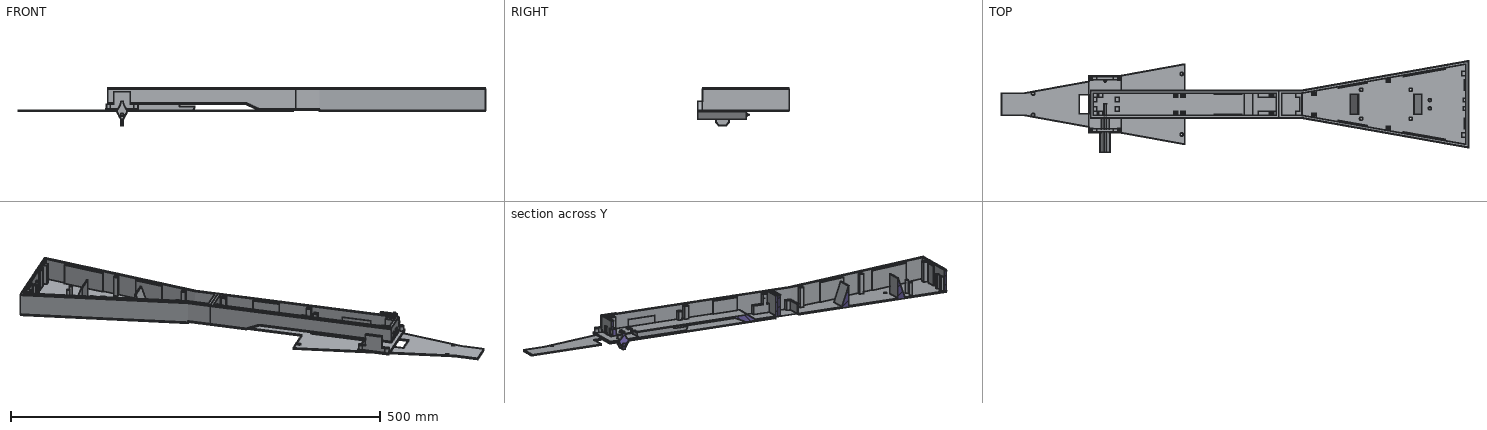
import cadquery as cq
import math


LENGTH = 633.0
TOP_Z = 51.0
SHEET = 2.0
WALL = 4.0
BAND_H = 2.0
BAND_INSET = 0.5
SCREW_HOLE_D = 4.0
STUD_D = 4.0
PILOT_D = 2.1
PILOT_DEPTH = 6.5
POST_W = 6.0
POST_TOP_Z = TOP_Z - SHEET

PLATE_Z = 19.0
PLATE_TOP_Z = PLATE_Z + SHEET
PLATE_TIP_HALF_W = 15.0
PLATE_STRAIGHT_X = 31.5
PLATE_END_X = 248.5
PLATE_END_HALF_W = 54.5
TONGUE_HALF_W = 12.5
WINDOW_START_X = 105.5
WINDOW_END_X = 119.5
PLATE_HOLES = [(43.0, 14.5), (244.0, 41.0)]

NECK_START_X = 121.0
JOINT_X = 376.0
NECK_HALF_W = 19.0
NECK_BOTTOM_Z = 29.0
NECK_INNER_HALF_W = NECK_HALF_W - WALL
NECK_FLOOR_Z = NECK_BOTTOM_Z + SHEET
LOW_FLOOR_Z = PLATE_TOP_Z + SHEET
OUTER_RAMP_X = (307.5, 325.0)
INNER_RAMP_X = (329.0, 340.5)
CABLE_W = 6.0
CABLE_Y = 6.65
CABLE_SLOT_TOP_Z = 39.0
CABLE_BOSS_L = 4.5
FLOOR_OPENING_X = 157.0

FLARE_START_X = 407.5
TRAY_HALF_W = 59.0
TRAY_FLOOR_Z = PLATE_TOP_Z + 0.5
CROSS_WALL_X = 404.0
CROSS_WALL_T = 2.5
LOW_POST_Z = 35.0
TRAY_HOLES_X = (487.0, 554.0)
TRAY_HOLES_Y = 19.5
WEDGE_HALF_W = 13.0
WEDGE_FOOT_X = (472.5, 569.5)
WEDGE_RUN = 11.5
WEDGE_CREST = 1.0
STUD_X = 580.0
STUD_Y = 6.0
STUD_TOP_Z = 40.0

BRACKET_X = 140.5
BRACKET_L = 43.5
BRACKET_HALF_W = 38.5
SLAB_TOP_Z = PLATE_TOP_Z + SHEET
LUG_W = 23.0
LUG_T = 4.0
LUG_INSET = 1.0
LUG_TOP_Z = 45.5
EAR_TOP_Z = 29.0
EAR_D = 6.0
EAR_PITCH = 37.0
PIVOT_CONE_D = 6.0
PIVOT_CONE_L = 4.0
PIVOT_CONE_Z = 26.5

HANDLE_X = 140.5
HANDLE_END_Y = 0.5
HANDLE_OUTER_Y = -65.0
HANDLE_HALF_W = 7.0
HANDLE_CREST_HALF_W = 1.0
HANDLE_CREST_Z = 33.0
HANDLE_SIDE_Z = (18.5, 21.0)
HANDLE_KEEL_Z = 8.0
BORE_Z = 14.5
PIN_TIP_L = 4.0
PIN_RECESS = 4.0
FIN_T = 3.0
FIN_Y = -31.5
FIN_TOP_HALF_W = 9.0
FIN_BOTTOM_HALF_W = 5.0
FIN_SHOULDER_Z = 4.5

SPACER_STEP_X = 218.0
SPACER_END_X = 239.0
SPACER_FOOT_X = 237.0
SPACER_STEP_Z = 26.0
SPACER_HALF_W = 6.5


def box(x0, x1, y0, y1, z0, z1):
    return cq.Workplane("XY").box(x1 - x0, y1 - y0, z1 - z0, centered=False).translate((x0, y0, z0))


def mirrored(part):
    """The part together with its mirror image across Y = 0."""
    return part.union(part.mirror("XZ"))


def prism_y(points, y0, y1):
    """Solid with an outline in X and Z, running from y0 to y1."""
    return cq.Workplane("XZ", origin=(0, y1, 0)).polyline(points).close().extrude(y1 - y0)


def prism_z(points, z0, z1):
    return cq.Workplane("XY", origin=(0, 0, z0)).polyline(points).close().extrude(z1 - z0)


def upright(x, y, d, z0, z1):
    return cq.Workplane("XY", origin=(x, y, z0)).circle(d / 2).extrude(z1 - z0)


def symmetric_outline(stations):
    """Closed outline from (x, half width) stations."""
    return stations + [(x, -half) for x, half in reversed(stations)]


def make_base_plate():
    outline = symmetric_outline([
        (0, PLATE_TIP_HALF_W),
        (PLATE_STRAIGHT_X, PLATE_TIP_HALF_W),
        (PLATE_END_X, PLATE_END_HALF_W),
        (PLATE_END_X, TONGUE_HALF_W),
        (JOINT_X - WALL, TONGUE_HALF_W),
    ])
    plate = prism_z(outline, PLATE_Z, PLATE_TOP_Z)
    plate = plate.cut(box(WINDOW_START_X, WINDOW_END_X, -TONGUE_HALF_W, TONGUE_HALF_W, PLATE_Z, PLATE_TOP_Z))
    for x, y in PLATE_HOLES:
        plate = plate.cut(mirrored(upright(x, y, SCREW_HOLE_D, PLATE_Z, PLATE_TOP_Z)))
    return plate


def make_neck():
    outer = [
        (NECK_START_X, TOP_Z),
        (NECK_START_X, NECK_BOTTOM_Z),
        (OUTER_RAMP_X[0], NECK_BOTTOM_Z),
        (OUTER_RAMP_X[1], PLATE_TOP_Z),
        (JOINT_X, PLATE_TOP_Z),
        (JOINT_X, TOP_Z),
    ]
    inner = [
        (NECK_START_X + WALL, TOP_Z),
        (NECK_START_X + WALL, NECK_FLOOR_Z),
        (INNER_RAMP_X[0], NECK_FLOOR_Z),
        (INNER_RAMP_X[1], LOW_FLOOR_Z),
        (JOINT_X - WALL, LOW_FLOOR_Z),
        (JOINT_X - WALL, TOP_Z),
    ]
    proud = [
        (x, TOP_Z - BAND_H if z == TOP_Z else z + BAND_H) for x, z in outer
    ]
    edge_half_w = NECK_HALF_W - BAND_INSET
    neck = prism_y(outer, -edge_half_w, edge_half_w)
    neck = neck.union(prism_y(proud, -NECK_HALF_W, NECK_HALF_W))
    neck = neck.cut(prism_y(inner, -NECK_INNER_HALF_W, NECK_INNER_HALF_W))

    ledges = [
        (348.0, JOINT_X - WALL, POST_W, LOW_FLOOR_Z, LOW_POST_Z),
        (288.5, 325.0, SHEET, NECK_FLOOR_Z, POST_TOP_Z),
        (159.5, 200.0, 0.3, NECK_FLOOR_Z, 41.0),
    ]
    for x0, x1, depth, z0, z1 in ledges:
        ledge = box(x0, x1, NECK_INNER_HALF_W - depth, NECK_HALF_W - WALL / 2, z0, z1)
        neck = neck.union(mirrored(ledge))

    posts = [
        (NECK_START_X + WALL, 137.0, NECK_FLOOR_Z, POST_TOP_Z),
        (233.5, 239.0, NECK_FLOOR_Z, 43.0),
        (243.0, 249.0, NECK_FLOOR_Z, POST_TOP_Z),
        (362.5, 369.0, LOW_FLOOR_Z, POST_TOP_Z),
    ]
    for x0, x1, z0, z1 in posts:
        post = box(x0, x1, NECK_INNER_HALF_W - POST_W, NECK_HALF_W - WALL / 2, z0, z1)
        pilot = upright((x0 + x1) / 2, NECK_INNER_HALF_W - POST_W / 2, PILOT_D, z1 - PILOT_DEPTH, z1)
        neck = neck.union(mirrored(post)).cut(mirrored(pilot))

    y0 = CABLE_Y - CABLE_W / 2
    y1 = CABLE_Y + CABLE_W / 2
    wall_x = NECK_START_X + WALL
    boss = box(wall_x - WALL / 2, wall_x + CABLE_BOSS_L, y0, y1, NECK_FLOOR_Z, CABLE_SLOT_TOP_Z)
    neck = neck.union(mirrored(boss))
    front_slot = box(NECK_START_X, wall_x - WALL / 2, y0, y1, NECK_FLOOR_Z, CABLE_SLOT_TOP_Z)
    floor_hole = box(
        FLOOR_OPENING_X - CABLE_W / 2, FLOOR_OPENING_X + CABLE_W / 2, y0, y1, NECK_BOTTOM_Z, NECK_FLOOR_Z
    )
    return neck.cut(mirrored(front_slot)).cut(mirrored(floor_hole))


def flare_slope():
    return (TRAY_HALF_W - NECK_HALF_W) / (LENGTH - FLARE_START_X)


def flare_half_width(x):
    return NECK_HALF_W + (x - FLARE_START_X) * flare_slope()


def flare_wall_offset():
    """Distance along Y through a flared wall."""
    return WALL * math.hypot(1, flare_slope())


def make_wedge(foot_x, direction):
    """Upright rib with one sloping face that starts at foot_x and climbs in the given direction."""
    crest_x = foot_x + direction * (WEDGE_RUN - WEDGE_CREST)
    back_x = foot_x + direction * WEDGE_RUN
    profile = [
        (foot_x, TRAY_FLOOR_Z),
        (crest_x, POST_TOP_Z),
        (back_x, POST_TOP_Z),
        (back_x, TRAY_FLOOR_Z),
    ]
    return prism_y(profile, -WEDGE_HALF_W, WEDGE_HALF_W)


def make_tray():
    tray = None
    for inset, rise in [(0, BAND_H), (BAND_INSET, 0)]:
        half = NECK_HALF_W - inset
        throat = box(JOINT_X, FLARE_START_X, -half, half, PLATE_TOP_Z + rise, TOP_Z - rise)
        outline = symmetric_outline([(FLARE_START_X, half), (LENGTH - inset, TRAY_HALF_W - inset)])
        shell = throat.union(prism_z(outline, PLATE_Z + rise, TOP_Z - rise))
        tray = shell if tray is None else tray.union(shell)

    end_x = LENGTH - WALL
    offset = flare_wall_offset()
    cavity = symmetric_outline([
        (JOINT_X + WALL, NECK_INNER_HALF_W),
        (FLARE_START_X + (NECK_INNER_HALF_W - NECK_HALF_W + offset) / flare_slope(), NECK_INNER_HALF_W),
        (end_x, flare_half_width(end_x) - offset),
    ])
    tray = tray.cut(prism_z(cavity, TRAY_FLOOR_Z, TOP_Z))

    x0 = CROSS_WALL_X
    tray = tray.union(
        box(x0, x0 + CROSS_WALL_T, -NECK_INNER_HALF_W, NECK_INNER_HALF_W, TRAY_FLOOR_Z, LOW_POST_Z)
    )
    corner = box(x0 - POST_W, x0, NECK_INNER_HALF_W - POST_W, NECK_INNER_HALF_W, TRAY_FLOOR_Z, LOW_POST_Z)
    tray = tray.union(mirrored(corner))

    for x0, x1 in [(456.0, 495.5), (544.0, 601.0)]:
        pad = [
            (x0, flare_half_width(x0) - offset / 2),
            (x1, flare_half_width(x1) - offset / 2),
            (x1, flare_half_width(x1) - offset - SHEET),
            (x0, flare_half_width(x0) - offset - SHEET),
        ]
        tray = tray.union(mirrored(prism_z(pad, TRAY_FLOOR_Z, POST_TOP_Z)))

    for x in (423.0, 524.0):
        inside = flare_half_width(x) - offset
        y0 = inside - POST_W
        post = box(x - POST_W / 2, x + POST_W / 2, y0, inside + WALL / 2, TRAY_FLOOR_Z, POST_TOP_Z)
        pilot = upright(x, y0 + POST_W / 2, PILOT_D, POST_TOP_Z - PILOT_DEPTH, POST_TOP_Z)
        tray = tray.union(mirrored(post)).cut(mirrored(pilot))

    for y, width, depth, z1 in [(26.0, 14.5, 2.0, POST_TOP_Z), (6.0, 5.0, 4.0, 41.0), (42.0, 6.5, 6.0, POST_TOP_Z)]:
        post = box(end_x - depth, end_x, y - width / 2, y + width / 2, TRAY_FLOOR_Z, z1)
        tray = tray.union(mirrored(post))

    tray = tray.union(make_wedge(WEDGE_FOOT_X[0], 1)).union(make_wedge(WEDGE_FOOT_X[1], -1))
    tray = tray.union(mirrored(upright(STUD_X, STUD_Y, STUD_D, TRAY_FLOOR_Z, STUD_TOP_Z)))

    for x in TRAY_HOLES_X:
        tray = tray.cut(mirrored(upright(x, TRAY_HOLES_Y, SCREW_HOLE_D, PLATE_Z, TRAY_FLOOR_Z)))
    return tray


def make_bracket_slab():
    half = BRACKET_L / 2
    return box(BRACKET_X - half, BRACKET_X + half, -BRACKET_HALF_W, BRACKET_HALF_W, PLATE_TOP_Z, SLAB_TOP_Z)


def make_lug():
    """Upright lug of the +Y side, with a drilled ear at each end."""
    y1 = BRACKET_HALF_W - LUG_INSET
    y0 = y1 - LUG_T
    y = y1 - LUG_T / 2
    lug = box(BRACKET_X - LUG_W / 2, BRACKET_X + LUG_W / 2, y0, y1, SLAB_TOP_Z, LUG_TOP_Z)
    half = EAR_PITCH / 2
    lug = lug.union(box(BRACKET_X - half, BRACKET_X + half, y0, y1, SLAB_TOP_Z, EAR_TOP_Z))
    for x in (BRACKET_X - half, BRACKET_X + half):
        lug = lug.union(upright(x, y, EAR_D, SLAB_TOP_Z, EAR_TOP_Z))
        lug = lug.cut(upright(x, y, PILOT_D, SLAB_TOP_Z, EAR_TOP_Z))
    return lug


def make_pivot_cone():
    """Pointed boss on the inner face of the +Y lug."""
    face_y = BRACKET_HALF_W - LUG_INSET - LUG_T
    base = cq.Vector(BRACKET_X, face_y, PIVOT_CONE_Z)
    return cq.Workplane(cq.Solid.makeCone(PIVOT_CONE_D / 2, 0, PIVOT_CONE_L, pnt=base, dir=cq.Vector(0, -1, 0)))


def make_handle():
    """Bar along Y with a narrow crest, concave shoulders, a bore and a fin below."""
    shoulder = (HANDLE_HALF_W, HANDLE_SIDE_Z[1])
    waist = (3.0, 26.5)
    crest = (HANDLE_CREST_HALF_W, HANDLE_CREST_Z)
    profile = (
        cq.Workplane("XZ", origin=(HANDLE_X, HANDLE_END_Y, 0))
        .moveTo(*crest)
        .threePointArc(waist, shoulder)
        .lineTo(HANDLE_HALF_W, HANDLE_SIDE_Z[0])
        .lineTo(FIN_T / 2, HANDLE_KEEL_Z)
        .lineTo(-FIN_T / 2, HANDLE_KEEL_Z)
        .lineTo(-HANDLE_HALF_W, HANDLE_SIDE_Z[0])
        .lineTo(-HANDLE_HALF_W, HANDLE_SIDE_Z[1])
        .threePointArc((-waist[0], waist[1]), (-crest[0], crest[1]))
        .close()
    )
    handle = profile.extrude(HANDLE_END_Y - HANDLE_OUTER_Y)
    fin = (
        cq.Workplane("YZ", origin=(HANDLE_X - FIN_T / 2, FIN_Y, 0))
        .moveTo(-FIN_TOP_HALF_W, HANDLE_KEEL_Z)
        .lineTo(-FIN_TOP_HALF_W, FIN_SHOULDER_Z)
        .lineTo(-FIN_BOTTOM_HALF_W, 0)
        .lineTo(FIN_BOTTOM_HALF_W, 0)
        .lineTo(FIN_TOP_HALF_W, FIN_SHOULDER_Z)
        .lineTo(FIN_TOP_HALF_W, HANDLE_KEEL_Z)
        .close()
        .extrude(FIN_T)
    )
    return handle.union(fin)


def make_pin():
    """Pin in the handle's bore; its conical tip stands out of the inner end."""
    length = HANDLE_END_Y - HANDLE_OUTER_Y - PIN_RECESS
    pin = cq.Workplane("XZ", origin=(HANDLE_X, HANDLE_END_Y, BORE_Z)).circle(SCREW_HOLE_D / 2).extrude(length)
    tip = cq.Solid.makeCone(
        SCREW_HOLE_D / 2, 0, PIN_TIP_L, pnt=cq.Vector(HANDLE_X, HANDLE_END_Y, BORE_Z), dir=cq.Vector(0, 1, 0)
    )
    return pin.union(cq.Workplane(tip))


def make_bore():
    return (
        cq.Workplane("XZ", origin=(HANDLE_X, HANDLE_END_Y, BORE_Z))
        .circle(SCREW_HOLE_D / 2)
        .extrude(HANDLE_END_Y - HANDLE_OUTER_Y)
    )


def make_spacer():
    start_x = BRACKET_X + BRACKET_L / 2
    profile = [
        (start_x, PLATE_TOP_Z),
        (start_x, NECK_BOTTOM_Z),
        (SPACER_STEP_X, NECK_BOTTOM_Z),
        (SPACER_STEP_X, SPACER_STEP_Z),
        (SPACER_END_X, SPACER_STEP_Z),
        (SPACER_FOOT_X, PLATE_TOP_Z),
    ]
    return prism_y(profile, -SPACER_HALF_W, SPACER_HALF_W)


handle = make_handle()
base_plate = make_base_plate().cut(handle)
neck = make_neck().cut(handle)
bracket_slab = make_bracket_slab().cut(handle)
lug = make_lug()
lugs = [lug.union(make_pivot_cone()), lug.mirror("XZ").cut(handle)]
handle = handle.cut(make_bore())
pin = make_pin()
tray = make_tray()
spacer = make_spacer()

result = cq.Compound.makeCompound([
    base_plate.val(),
    neck.val(),
    tray.val(),
    bracket_slab.val(),
    *[each.val() for each in lugs],
    handle.val(),
    pin.val(),
    spacer.val(),
])